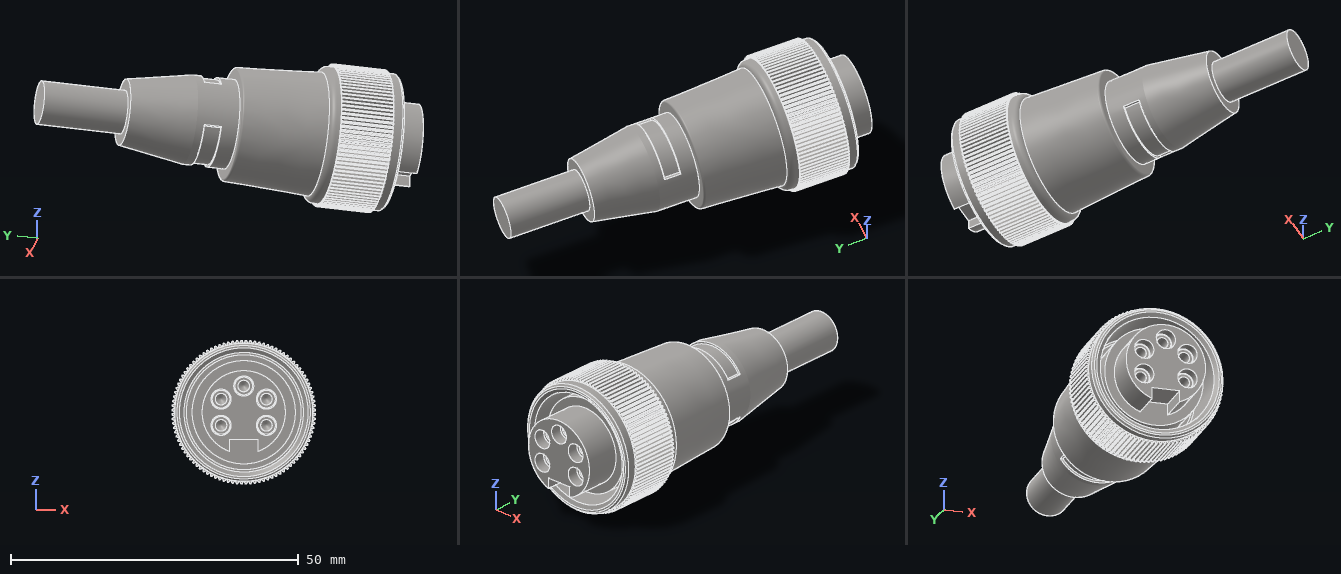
import cadquery as cq
import math

TOTAL_LENGTH = 67.0

PLUG_RADIUS = 7.25
PLUG_LENGTH = 6.8
FLANGE_RADIUS = 9.0

KEYWAY_WIDTH = 5.0
KEYWAY_FLOOR = 4.75

CONTACT_CIRCLE_RADIUS = 4.55
CONTACT_PLACES = 6
CONTACT_RADIUS = 1.75
CONTACT_TIP_CHAMFER = 0.2
CONTACT_RECESS = 2.0
CONTACT_BORE_RADIUS = 1.0
CONTACT_BORE_DEPTH = 4.0
DRILL_POINT_ANGLE = 118.0

GRIP_FRONT_RADIUS = 10.85
GRIP_BACK_RADIUS = 10.0
GRIP_BACK = 33.0
GRIP_EDGE_FILLET = 0.4
COLLAR_RADIUS = 7.85
COLLAR_BACK = 40.5
RELIEF_END_RADIUS = 5.8
RELIEF_END = 52.05
CABLE_RADIUS = 3.8

GROOVE_FRONT = 36.05
GROOVE_BACK = 39.05
GROOVE_RADIUS = 7.45
GROOVE_END_HEIGHT = 4.15

NUT_FRONT = 4.5
NUT_BACK = 17.75
NUT_RADIUS = 12.0
NUT_FRONT_CHAMFER = 0.4
NUT_BACK_FILLET = 1.15
NUT_BORE_RADIUS = 10.4
NUT_LEAD_IN_WIDTH = 0.8
NUT_LEAD_IN_DEPTH = 0.5
NECK_RADIUS = 10.0

KNURL_FRONT = 6.55
KNURL_BACK = 15.9
KNURL_TIP_RADIUS = 12.495
KNURL_ROOT_RADIUS = 11.9
KNURL_TEETH = 100
TOOTH_TIP_SHARE = 0.25

NUT_WALL_FRONT = KNURL_BACK


def revolve_about_y(profile):
    """Revolve a closed XY profile a full turn about the Y axis."""
    return profile.revolve(360, (0, 0, 0), (0, 1, 0))


def along_y(start):
    """Workplane at Y = start that extrudes toward +Y; its x is Z and its y is X."""
    return cq.Workplane("ZX", origin=(0, start, 0))


def make_blank():
    """Turned shape of the body from the plug face to the cable end."""
    blank = revolve_about_y(
        cq.Workplane("XY")
        .moveTo(0, 0)
        .lineTo(PLUG_RADIUS, 0)
        .lineTo(PLUG_RADIUS, PLUG_LENGTH)
        .lineTo(FLANGE_RADIUS, PLUG_LENGTH)
        .lineTo(FLANGE_RADIUS, NUT_WALL_FRONT)
        .lineTo(NECK_RADIUS, NUT_WALL_FRONT)
        .lineTo(NECK_RADIUS, NUT_BACK)
        .lineTo(GRIP_FRONT_RADIUS, NUT_BACK)
        .lineTo(GRIP_BACK_RADIUS, GRIP_BACK)
        .lineTo(COLLAR_RADIUS, GRIP_BACK)
        .lineTo(COLLAR_RADIUS, COLLAR_BACK)
        .lineTo(RELIEF_END_RADIUS, RELIEF_END)
        .lineTo(CABLE_RADIUS, RELIEF_END)
        .lineTo(CABLE_RADIUS, TOTAL_LENGTH)
        .lineTo(0, TOTAL_LENGTH)
        .close()
    )
    tolerance = 0.1
    reach = GRIP_BACK_RADIUS + tolerance
    rear_plane_box = cq.selectors.BoxSelector(
        (-reach, GRIP_BACK - tolerance, -reach),
        (reach, GRIP_BACK + tolerance, reach),
        boundingbox=True,
    )
    largest_circle = cq.selectors.RadiusNthSelector(-1)
    return blank.edges(rear_plane_box).edges(largest_circle).fillet(GRIP_EDGE_FILLET)


def make_collar_grooves():
    """Ring segments to remove above and below the collar's middle band."""
    width = GROOVE_BACK - GROOVE_FRONT
    ring = along_y(GROOVE_FRONT).circle(GRIP_BACK_RADIUS).circle(GROOVE_RADIUS).extrude(width)
    middle_band = along_y(GROOVE_FRONT).rect(2 * GROOVE_END_HEIGHT, 2 * GRIP_BACK_RADIUS).extrude(width)
    return ring.cut(middle_band)


def make_keyway():
    """Block to remove along the underside of the plug."""
    height = FLANGE_RADIUS - KEYWAY_FLOOR
    middle = KEYWAY_FLOOR + height / 2
    return cq.Workplane("XY").box(KEYWAY_WIDTH, PLUG_LENGTH, height).translate(
        (0, PLUG_LENGTH / 2, -middle)
    )


def make_contact_hole():
    """Recess with a chamfered contact tip at its end and a drilled bore, on the Y axis."""
    bore_end = CONTACT_RECESS + CONTACT_BORE_DEPTH
    point_length = CONTACT_BORE_RADIUS / math.tan(math.radians(DRILL_POINT_ANGLE / 2))
    return revolve_about_y(
        cq.Workplane("XY")
        .moveTo(0, 0)
        .lineTo(CONTACT_RADIUS, 0)
        .lineTo(CONTACT_RADIUS, CONTACT_RECESS + CONTACT_TIP_CHAMFER)
        .lineTo(CONTACT_RADIUS - CONTACT_TIP_CHAMFER, CONTACT_RECESS)
        .lineTo(CONTACT_BORE_RADIUS, CONTACT_RECESS)
        .lineTo(CONTACT_BORE_RADIUS, bore_end)
        .lineTo(0, bore_end + point_length)
        .close()
    )


def make_body():
    """Moulded body with plug, grip, strain relief and cable."""
    body = make_blank().cut(make_collar_grooves()).cut(make_keyway())
    contact_hole = make_contact_hole()
    keyway_place = CONTACT_PLACES // 2
    for place in range(CONTACT_PLACES):
        if place == keyway_place:
            continue
        angle = 2 * math.pi * place / CONTACT_PLACES
        x = CONTACT_CIRCLE_RADIUS * math.sin(angle)
        z = CONTACT_CIRCLE_RADIUS * math.cos(angle)
        body = body.cut(contact_hole.translate((x, 0, z)))
    return body


def make_knurl():
    """Toothed ring: straight flat-tipped teeth, with the nut's bore open through it."""
    pitch = 2 * math.pi / KNURL_TEETH
    half_tip = TOOTH_TIP_SHARE * pitch / 2
    outline = []
    for tooth in range(KNURL_TEETH):
        root = tooth * pitch
        tip = root + pitch / 2
        for radius, angle in (
            (KNURL_ROOT_RADIUS, root),
            (KNURL_TIP_RADIUS, tip - half_tip),
            (KNURL_TIP_RADIUS, tip + half_tip),
        ):
            outline.append((radius * math.cos(angle), radius * math.sin(angle)))
    length = KNURL_BACK - KNURL_FRONT
    toothed = along_y(KNURL_FRONT).polyline(outline).close().extrude(length)
    core = along_y(KNURL_FRONT).circle((NUT_BORE_RADIUS + NUT_RADIUS) / 2).extrude(length)
    return toothed.cut(core)


def make_nut():
    """Knurled coupling nut, open at the front and closed around the body's neck at the back."""
    fillet_start = NUT_BACK - NUT_BACK_FILLET
    fillet_mid = NUT_BACK_FILLET * math.sqrt(0.5)
    shell = revolve_about_y(
        cq.Workplane("XY")
        .moveTo(NUT_BORE_RADIUS + NUT_LEAD_IN_WIDTH, NUT_FRONT)
        .lineTo(NUT_RADIUS - NUT_FRONT_CHAMFER, NUT_FRONT)
        .lineTo(NUT_RADIUS, NUT_FRONT + NUT_FRONT_CHAMFER)
        .lineTo(NUT_RADIUS, fillet_start)
        .threePointArc(
            (NUT_RADIUS - NUT_BACK_FILLET + fillet_mid, fillet_start + fillet_mid),
            (NUT_RADIUS - NUT_BACK_FILLET, NUT_BACK),
        )
        .lineTo(NECK_RADIUS, NUT_BACK)
        .lineTo(NECK_RADIUS, NUT_WALL_FRONT)
        .lineTo(NUT_BORE_RADIUS, NUT_WALL_FRONT)
        .lineTo(NUT_BORE_RADIUS, NUT_FRONT + NUT_LEAD_IN_DEPTH)
        .close()
    )
    return shell.union(make_knurl())


body = make_body()
nut = make_nut()
result = cq.Compound.makeCompound([body.solids().val(), nut.solids().val()])